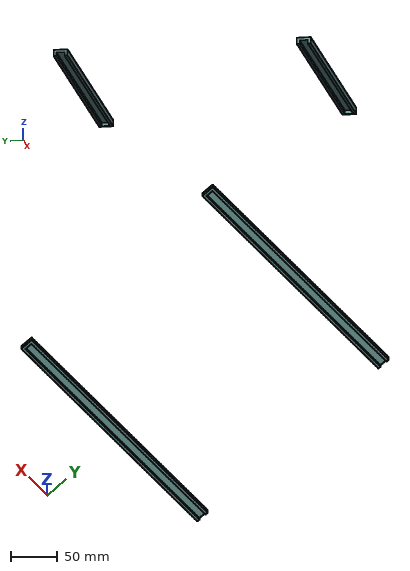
import cadquery as cq

rail_length = 279.4
rail_width = 15.24
rail_height = 6.985
overall_width = 281.94
rail_spacing = overall_width - rail_width

wall = 3.175
top_thickness = wall
end_wall = wall


def make_rail(center_y):
    """Inverted channel centred on center_y, closed by a wall at its +X end."""
    body = cq.Workplane("XY").box(
        rail_length, rail_width, rail_height, centered=(True, True, False)
    )
    channel = cq.Workplane("XY").box(
        rail_length - end_wall,
        rail_width - 2 * wall,
        rail_height - top_thickness,
        centered=(False, True, False),
    )
    channel = channel.translate((-rail_length / 2, 0, 0))
    return body.cut(channel).translate((0, center_y, 0))


rails = []
for side in (-1, 1):
    rail = make_rail(side * rail_spacing / 2)
    rails.append(rail.val())

result = cq.Compound.makeCompound(rails)